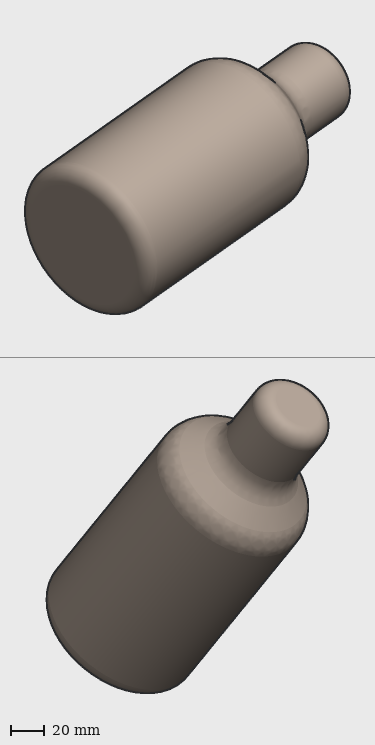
import cadquery as cq

total_length = 221.5
body_diameter = 100.0
neck_diameter = 50.0
body_length = 149.5
neck_length = 50.0
rim_radius = 10.0
shoulder_radius = 20.0

body_radius = body_diameter / 2
neck_radius = neck_diameter / 2
neck_start = total_length - neck_length

bottle = (
    cq.Workplane("XY")
    .polyline([
        (0, 0),
        (body_radius, 0),
        (body_radius, body_length),
        (neck_radius, neck_start),
        (neck_radius, total_length),
        (0, total_length),
    ])
    .close()
    .revolve(360, (0, 0, 0), (0, 1, 0))
)


def round_edge_at(solid, height, radius):
    """Fillet the circular edge lying at the given height along Y."""
    margin = 0.2
    selector = cq.selectors.BoxSelector(
        (-body_diameter, height - margin, -body_diameter),
        (body_diameter, height + margin, body_diameter),
    )
    return solid.edges("%CIRCLE").edges(selector).fillet(radius)


bottle = round_edge_at(bottle, body_length, shoulder_radius)
bottle = round_edge_at(bottle, neck_start, shoulder_radius)

bottle = round_edge_at(bottle, 0, rim_radius)
result = round_edge_at(bottle, total_length, rim_radius)